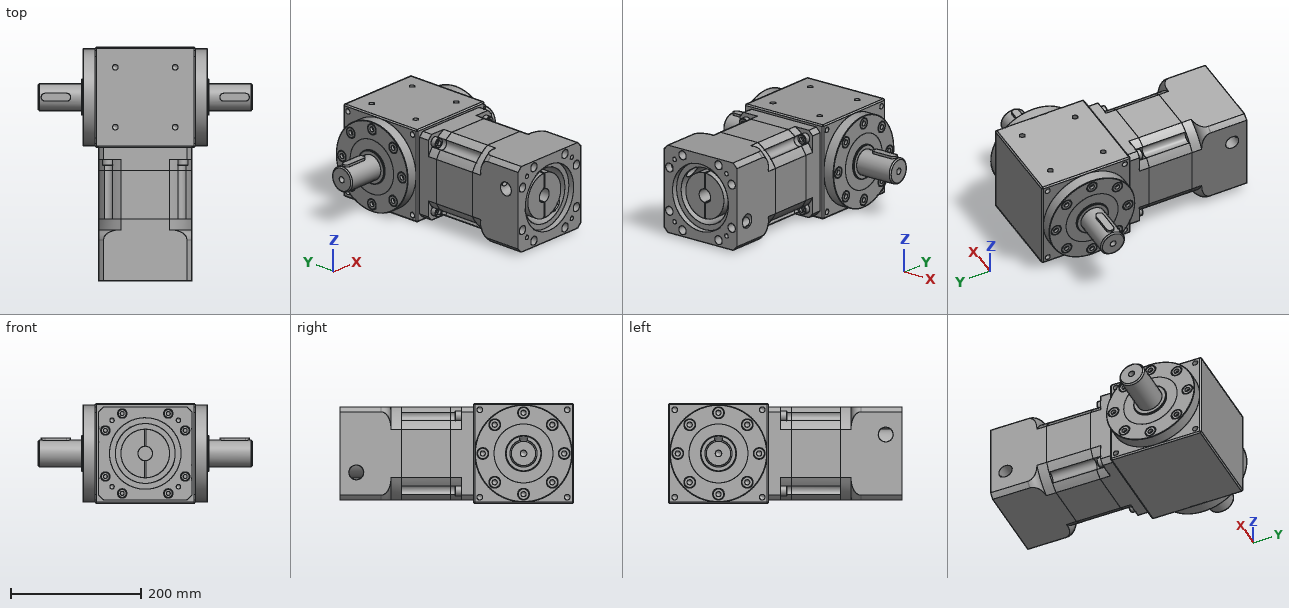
import cadquery as cq
import math


cube_side = 154.0
cube_chamfer = 2.0
half_cube = cube_side / 2
top_hole_offset = 46.0
corner_hole_offset = 67.0
thread_diameter = 8.5
thread_depth = 18.0
drill_tip_angle = 118

flange_radius = 74.5
flange_thickness = 18.5
flange_chamfer = 0.7
flange_face = half_cube + flange_thickness
flange_screw_count = 8
flange_screw_circle_radius = 62.5

screw_head_diameter = 16.0
screw_clearance_diameter = 18.0
screw_socket_diameter = 8.0
screw_socket_depth = 5.0
screw_head_length = 9.7
screw_head_chamfer = 1.0
screw_ring_gap_depth = 3.5

shaft_length = 329.0
shaft_radius = 21.0
shaft_chamfer = 2.0
half_shaft = shaft_length / 2
seal_radius = 45.2
collar_radius = 27.5
collar_height = 2.5
collar_chamfer = 1.0
centre_hole_diameter = 10.0
centre_hole_depth = 21.5
key_width = 12.2
key_length = 45.2
key_end_gap = 4.5
key_height = 3.05

input_side = 143.0
half_input = input_side / 2
corner_radius = 96.0
relief_radius = 80.5
relief_start = 95.5
ring_gear_start = 112.5
motor_flange_start = 187.0
relief_end = 203.5
overall_length = 359
input_end = overall_length - half_cube
adapter_screw_offset = 57.5

pilot_radius = 55.0
pilot_depth = 10.0
cavity_radius = 46.0
cavity_floor = 208.2
hub_radius = 37.5
hub_recess = 10.8
hub_bore_diameter = 22.3
hub_slit_width = 2.0
hub_slit_depth = 43.0
access_hole_diameter = 22.5
access_hole_station = 256.7
access_hole_height = 29.0
motor_screw_circle_radius = 70.7
motor_screw_angles = (30, 60)
motor_screw_head_diameter = 12.2
motor_screw_hole_diameter = 14.5
motor_screw_socket_diameter = 6.0
motor_screw_head_length = 8.0
motor_screw_hole_floor = 215.5
motor_thread_offset = 51.0
motor_thread_diameter = 7.0


def input_plane(station):
    """Plane across the input axis, facing -Y, at a distance from the origin; its local axes are X and Z."""
    return cq.Workplane("XZ", origin=(0, -station, 0))


def side_plane(side, distance):
    """Plane across the shaft axis, facing away from the housing on the +X (1) or -X (-1) side.

    Its local axes are side * Y and Z.
    """
    return cq.Workplane(cq.Plane(origin=(side * distance, 0, 0), xDir=(0, side, 0), normal=(side, 0, 0)))


def drilled_holes(plane, points, diameter, depth):
    """Cutter for blind holes into a plane, each with the cone of a drill tip at its bottom."""
    radius = diameter / 2
    tip = radius / math.tan(math.radians(drill_tip_angle / 2))
    hole = cq.Solid.revolve(
        cq.Wire.makePolygon([
            cq.Vector(0, 0, 0),
            cq.Vector(radius, 0, 0),
            cq.Vector(radius, -depth, 0),
            cq.Vector(0, -depth - tip, 0),
        ], close=True),
        [],
        360,
        cq.Vector(0, 0, 0),
        cq.Vector(0, 1, 0),
    )
    hole = hole.rotate(cq.Vector(0, 0, 0), cq.Vector(1, 0, 0), 90)
    holes = plane.pushPoints(points).eachpoint(lambda place: hole.moved(place), useLocalCoordinates=True)
    return holes.combine()


def square_corners(offset):
    return [(x, z) for x in (-offset, offset) for z in (-offset, offset)]


def polar_point(radius, degrees):
    turn = math.radians(degrees)
    return (radius * math.cos(turn), radius * math.sin(turn))


def turned(profile):
    """Solid of revolution about the X axis from a closed (x, radius) profile."""
    return cq.Workplane("XZ").polyline(profile).close().revolve(360, (0, 0, 0), (1, 0, 0))


def end_flanges():
    flanges = turned([
        (-flange_face, 0),
        (-flange_face, flange_radius - flange_chamfer),
        (-flange_face + flange_chamfer, flange_radius),
        (flange_face - flange_chamfer, flange_radius),
        (flange_face, flange_radius - flange_chamfer),
        (flange_face, 0),
    ])
    points = [
        polar_point(flange_screw_circle_radius, 360 * i / flange_screw_count)
        for i in range(flange_screw_count)
    ]
    for side in (-1, 1):
        ring_gaps = (
            side_plane(side, flange_face)
            .pushPoints(points)
            .circle(screw_clearance_diameter / 2)
            .circle(screw_head_diameter / 2)
            .extrude(-screw_ring_gap_depth)
        )
        sockets = drilled_holes(
            side_plane(side, flange_face), points, screw_socket_diameter, screw_socket_depth
        )
        flanges = flanges.cut(ring_gaps).cut(sockets)
    return flanges


def housing_body(shaft):
    body = cq.Workplane("XY").box(cube_side, cube_side, cube_side).edges().chamfer(cube_chamfer)
    body = body.union(end_flanges())
    top_plane = cq.Workplane("XY", origin=(0, 0, half_cube))
    top_holes = drilled_holes(top_plane, square_corners(top_hole_offset), thread_diameter, thread_depth)
    body = body.cut(top_holes)
    for side in (-1, 1):
        corner_holes = drilled_holes(
            side_plane(side, half_cube), square_corners(corner_hole_offset), thread_diameter, thread_depth
        )
        body = body.cut(corner_holes)
    return body.cut(shaft)


def shaft_body():
    """Shaft with a flush seal disc and a raised collar at each end flange, and a key on each end."""
    collar_face = flange_face + collar_height
    right_half = [
        (half_cube, shaft_radius),
        (half_cube, seal_radius),
        (flange_face, seal_radius),
        (flange_face, collar_radius),
        (collar_face - collar_chamfer, collar_radius),
        (collar_face, collar_radius - collar_chamfer),
        (collar_face, shaft_radius),
        (half_shaft - shaft_chamfer, shaft_radius),
        (half_shaft, shaft_radius - shaft_chamfer),
        (half_shaft, 0),
    ]
    left_half = [(-x, radius) for x, radius in reversed(right_half)]
    shaft = turned(left_half + right_half)

    key_centre = half_shaft - key_end_gap - key_length / 2
    keys = (
        cq.Workplane("XY")
        .pushPoints([(-key_centre, 0), (key_centre, 0)])
        .slot2D(key_length, key_width)
        .extrude(shaft_radius + key_height)
    )
    shaft = shaft.union(keys)
    for side in (-1, 1):
        centre_hole = drilled_holes(
            side_plane(side, half_shaft), [(0, 0)], centre_hole_diameter, centre_hole_depth
        )
        shaft = shaft.cut(centre_hole)
    return shaft


def input_section(start, end, radius):
    """Length of the input train: the square section with its corners cut back to a radius."""
    length = end - start
    square = input_plane(start).rect(input_side, input_side).extrude(length)
    return square.intersect(input_plane(start).circle(radius).extrude(length))


def screw_grooves(start, end):
    """Round grooves along the four corners that give room for the adapter screws."""
    return (
        input_plane(start)
        .pushPoints(square_corners(adapter_screw_offset))
        .circle(screw_clearance_diameter / 2)
        .extrude(end - start)
    )


def adapter_screw_heads():
    heads = (
        input_plane(relief_start)
        .pushPoints(square_corners(adapter_screw_offset))
        .circle(screw_head_diameter / 2)
        .extrude(screw_head_length)
        .faces("<Y")
        .chamfer(screw_head_chamfer)
    )
    sockets = (
        input_plane(relief_start + screw_head_length)
        .pushPoints(square_corners(adapter_screw_offset))
        .circle(screw_socket_diameter / 2)
        .extrude(-screw_socket_depth)
    )
    return heads.cut(sockets)


def adapter_flange_body():
    full_part = input_section(half_cube, relief_start, corner_radius)
    relieved_part = input_section(relief_start, ring_gear_start, relief_radius)
    relieved_part = relieved_part.cut(screw_grooves(relief_start, ring_gear_start))
    return full_part.union(relieved_part).union(adapter_screw_heads())


def ring_gear_body():
    ring = input_section(ring_gear_start, motor_flange_start, relief_radius)
    return ring.cut(screw_grooves(ring_gear_start, motor_flange_start))


def motor_flange_blank():
    """Square block inside a turned profile whose shoulder is a quarter round up to the corner radius."""
    length = input_end - motor_flange_start
    shoulder_radius = corner_radius - relief_radius
    arc_reach = shoulder_radius * math.sin(math.radians(45))
    arc_middle = (relief_radius + arc_reach, -(relief_end + shoulder_radius - arc_reach))
    envelope = (
        cq.Workplane("XY")
        .moveTo(0, -motor_flange_start)
        .lineTo(relief_radius, -motor_flange_start)
        .lineTo(relief_radius, -relief_end)
        .threePointArc(arc_middle, (corner_radius, -(relief_end + shoulder_radius)))
        .lineTo(corner_radius, -input_end)
        .lineTo(0, -input_end)
        .close()
        .revolve(360, (0, 0, 0), (0, 1, 0))
    )
    return input_plane(motor_flange_start).rect(input_side, input_side).extrude(length).intersect(envelope)


def motor_screw_points():
    """Two screw places in each quadrant, a third of the quadrant in from the X and Z axes."""
    return [
        polar_point(motor_screw_circle_radius, 90 * quarter + angle)
        for quarter in range(4)
        for angle in motor_screw_angles
    ]


def motor_screw_recesses():
    """Deep screw holes, each with a socket-headed screw left standing on its floor."""
    points = motor_screw_points()
    holes = (
        input_plane(motor_screw_hole_floor)
        .pushPoints(points)
        .circle(motor_screw_hole_diameter / 2)
        .extrude(input_end - motor_screw_hole_floor)
    )
    heads = (
        input_plane(motor_screw_hole_floor)
        .pushPoints(points)
        .circle(motor_screw_head_diameter / 2)
        .circle(motor_screw_socket_diameter / 2)
        .extrude(motor_screw_head_length)
    )
    return holes.cut(heads)


def motor_flange_body():
    flange = motor_flange_blank()
    pilot = input_plane(input_end).circle(pilot_radius).extrude(-pilot_depth)
    cavity = input_plane(cavity_floor).circle(cavity_radius).extrude(input_end - cavity_floor)
    threads = drilled_holes(
        input_plane(input_end), square_corners(motor_thread_offset), motor_thread_diameter, thread_depth
    )
    flange = flange.cut(pilot).cut(cavity).cut(threads).cut(motor_screw_recesses())
    for side in (-1, 1):
        access_hole = (
            side_plane(side, half_input)
            .center(-side * access_hole_station, -side * access_hole_height)
            .circle(access_hole_diameter / 2)
            .extrude(-half_input)
        )
        flange = flange.cut(access_hole)
    return flange


def clamping_hub_body():
    hub_face = input_end - hub_recess
    hub_length = hub_face - cavity_floor
    hub = (
        input_plane(cavity_floor)
        .circle(hub_radius)
        .circle(hub_bore_diameter / 2)
        .extrude(hub_length)
    )
    slit = input_plane(hub_face).rect(hub_slit_width, 2 * hub_radius).extrude(-hub_slit_depth)
    return hub.cut(slit)


output_shaft = shaft_body()
housing = housing_body(output_shaft)
adapter_flange = adapter_flange_body()
ring_gear = ring_gear_body()
motor_flange = motor_flange_body()
clamping_hub = clamping_hub_body()

result = cq.Compound.makeCompound([
    housing.val(),
    output_shaft.val(),
    adapter_flange.val(),
    ring_gear.val(),
    motor_flange.val(),
    clamping_hub.val(),
])